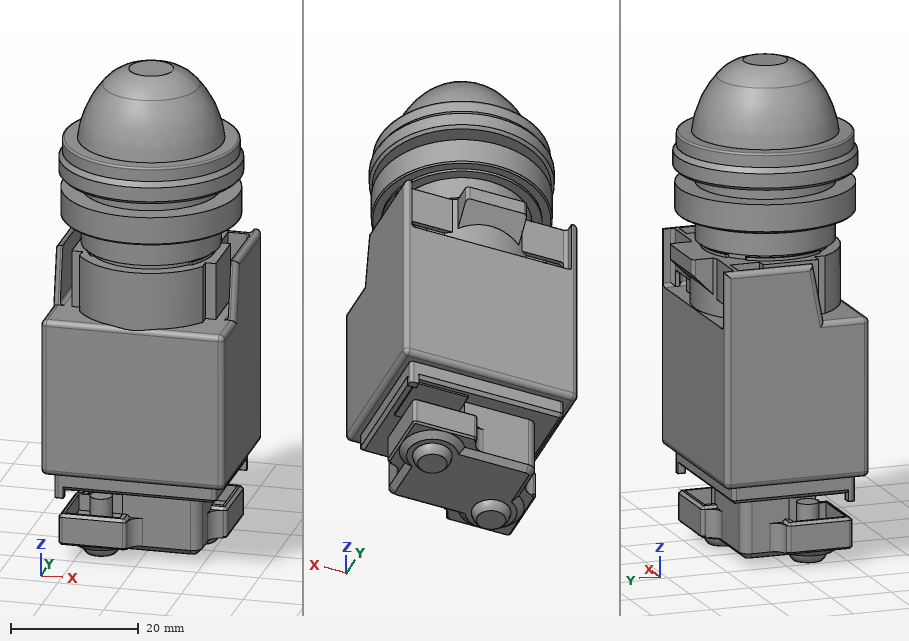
import cadquery as cq

TOTAL_HEIGHT = 79.75
DOME_BASE_Z = 68.25
BEZEL_BOTTOM_Z = 62.35
NUT_TOP_Z = 60.05
NUT_BOTTOM_Z = 55.4
NUT_FLANGE_BOTTOM_Z = 54.95
NECK_BOTTOM_Z = 50.9
LUG_TOP_Z = 50.3
HOUSING_TOP_Z = 49.8
SHELF_Z = 40.5
HOUSING_BOTTOM_Z = 14.7
PLATE_BOTTOM_Z = 11.8
PAD_BOTTOM_Z = 11.5
FOOT_BOTTOM_Z = 10.45
TRAY_TOP_Z = 7.65
TRAY_FLOOR_Z = 4.95
TRAY_BOTTOM_Z = 2.55
BLOCK_BOTTOM_Z = 1.6

DOME_CAP_RADIUS = 3.5
DOME_CAP_MID = (5.9, 78.8)
DOME_SEAM = (7.65, 77.2)
DOME_SIDE_MID = (10.3, 73.05)
DOME_BASE_RADIUS = 11.6
BEZEL_TOP_RADIUS = 13.95
BEZEL_TOP_ROUND = 0.3
BEZEL_RADIUS = 14.5
BEZEL_SHOULDER_TOP_Z = 66.0
BEZEL_SHOULDER_BOTTOM_Z = 65.15
BEZEL_BOTTOM_CHAMFER = 0.5
NECK_RADIUS = 22.0 / 2
STUB_RADIUS = 9.8
LUG_RADIUS = 20.4 / 2
SIDE_LUG_WIDTH = 12.3
BACK_LUG_WIDTH = 11.0

NUT_RADIUS = 28.4 / 2
NUT_FLANGE_RADIUS = 25.2 / 2
NUT_CHAMFER = 0.2

HOUSING_X = 29.6
HOUSING_Y = 24.0
HOUSING_ROUND = 0.9
WALL = 1.2
INNER_ROUND = 0.6
NOTCH_TOP_Y = -2.7
NOTCH_BOTTOM_Y = -4.5
BACK_WALL_FRONT_Y = 9.5
BACK_WALL_REAR_Y = 10.2
WINDOW_HEIGHT = 2.7
COLLAR_RADIUS = 23.6 / 2
COLLAR_FLATS = 19.9
COLLAR_EAR_X = 23.3
COLLAR_EAR_Y = 9.25
HOOK_WIDTH = 10.4
HOOK_TIP_Y = 14.1
HOOK_TIP_HEIGHT = 2.4
HOOK_ROUND = 0.55

PLATE_X = 26.15
PLATE_Y = 20.5
PLATE_ROUND = 0.6
PLATE_CHAMFER = 0.55
FOOT_X = 1.4
FOOT_Y = 1.2
BLOCK_X = 19.6
BLOCK_Y = 14.8
BLOCK_ROUND = 1.6
BLOCK_CHAMFER = TRAY_BOTTOM_Z - BLOCK_BOTTOM_Z
TRAY_REACH = 2.6
TRAY_X = 10.9
TRAY_Y = 10.85
TRAY_WALL = 0.9
TRAY_END_WALL = 1.2
TRAY_ROUND = 0.55
TRAY_CHAMFER = 0.5
TRAY_BOTTOM_CHAMFER = 0.3
TRAY_BLEND = 2.0
SCREW_INSET = 5.5
SCREW_SEAT_RADIUS = 4.1
SCREW_HEAD_RADIUS = 6.2 / 2
SCREW_FACE_RADIUS = 2.3
SCREW_HEAD_BULGE = (2.9, 0.7)
SCREW_TIP_RADIUS = 3.5 / 2
SCREW_TIP_Z = 9.3

TRAY_MIN_X = -BLOCK_X / 2 - TRAY_REACH
TRAY_MIN_Y = -BLOCK_Y / 2 - TRAY_REACH
TRAY_MAX_X = TRAY_MIN_X + TRAY_X
TRAY_MAX_Y = TRAY_MIN_Y + TRAY_Y
SCREW_X = TRAY_MIN_X + SCREW_INSET
SCREW_Y = TRAY_MIN_Y + SCREW_INSET


def box(x_range, y_range, z_range):
    """Axis-aligned box between the given limits."""
    corner = (x_range[0], y_range[0], z_range[0])
    size = (x_range[1] - x_range[0], y_range[1] - y_range[0], z_range[1] - z_range[0])
    return cq.Workplane("XY").box(*size, centered=False).translate(corner)


def centred_box(x_size, y_size, bottom_z, top_z):
    """Box centred on the Z axis."""
    return box((-x_size / 2, x_size / 2), (-y_size / 2, y_size / 2), (bottom_z, top_z))


def cylinder(radius, bottom_z, top_z):
    """Solid cylinder on the Z axis."""
    return cq.Workplane("XY").workplane(offset=bottom_z).circle(radius).extrude(top_z - bottom_z)


def turn_about_z(part, angle):
    """Copy of a part turned about the Z axis."""
    return part.rotate((0, 0, 0), (0, 0, 1), angle)


def make_lens():
    """Dome turned about Z, with a flat tip, standing on the bezel."""
    return (
        cq.Workplane("XZ")
        .moveTo(0, DOME_BASE_Z)
        .lineTo(DOME_BASE_RADIUS, DOME_BASE_Z)
        .threePointArc(DOME_SIDE_MID, DOME_SEAM)
        .threePointArc(DOME_CAP_MID, (DOME_CAP_RADIUS, TOTAL_HEIGHT))
        .lineTo(0, TOTAL_HEIGHT)
        .close()
        .revolve(360, (0, 0), (0, 1))
    )


def make_nut():
    """Ring nut around the neck, with a thin flange below."""
    nut = cylinder(NUT_RADIUS, NUT_BOTTOM_Z, NUT_TOP_Z).faces("<Z").edges().chamfer(NUT_CHAMFER)
    flange = cylinder(NUT_FLANGE_RADIUS, NUT_FLANGE_BOTTOM_Z, NUT_BOTTOM_Z)
    bore = cylinder(NECK_RADIUS, NUT_FLANGE_BOTTOM_Z, NUT_TOP_Z)
    return nut.union(flange).cut(bore)


def make_bezel_and_neck():
    """Bezel, neck and stub turned about Z, with three lugs on the stub."""
    turned = (
        cq.Workplane("XZ")
        .moveTo(0, HOUSING_TOP_Z)
        .lineTo(STUB_RADIUS, HOUSING_TOP_Z)
        .lineTo(STUB_RADIUS, NECK_BOTTOM_Z)
        .lineTo(NECK_RADIUS, NECK_BOTTOM_Z)
        .lineTo(NECK_RADIUS, BEZEL_BOTTOM_Z)
        .lineTo(BEZEL_RADIUS - BEZEL_BOTTOM_CHAMFER, BEZEL_BOTTOM_Z)
        .lineTo(BEZEL_RADIUS, BEZEL_BOTTOM_Z + BEZEL_BOTTOM_CHAMFER)
        .lineTo(BEZEL_RADIUS, BEZEL_SHOULDER_BOTTOM_Z)
        .lineTo(BEZEL_TOP_RADIUS, BEZEL_SHOULDER_TOP_Z)
        .lineTo(BEZEL_TOP_RADIUS, DOME_BASE_Z - BEZEL_TOP_ROUND)
        .radiusArc((BEZEL_TOP_RADIUS - BEZEL_TOP_ROUND, DOME_BASE_Z), -BEZEL_TOP_ROUND)
        .lineTo(0, DOME_BASE_Z)
        .close()
        .revolve(360, (0, 0), (0, 1))
    )
    lug_disc = cylinder(LUG_RADIUS, HOUSING_TOP_Z, LUG_TOP_Z)
    side_lugs = centred_box(2 * LUG_RADIUS, SIDE_LUG_WIDTH, HOUSING_TOP_Z, LUG_TOP_Z)
    back_lug = box(
        (-BACK_LUG_WIDTH / 2, BACK_LUG_WIDTH / 2), (0, LUG_RADIUS), (HOUSING_TOP_Z, LUG_TOP_Z)
    )
    return turned.union(lug_disc.intersect(side_lugs.union(back_lug)))


def make_shell():
    """Rounded box, lower at the front, with side walls standing above the shelf."""
    half_x = HOUSING_X / 2
    half_y = HOUSING_Y / 2
    shell = (
        cq.Workplane("YZ")
        .workplane(offset=-half_x)
        .polyline([
            (-half_y, HOUSING_BOTTOM_Z),
            (half_y, HOUSING_BOTTOM_Z),
            (half_y, HOUSING_TOP_Z),
            (NOTCH_TOP_Y, HOUSING_TOP_Z),
            (NOTCH_BOTTOM_Y, SHELF_Z),
            (-half_y, SHELF_Z),
        ])
        .close()
        .extrude(HOUSING_X)
    )
    shell = shell.faces("<X or >X or <Y or <Z").edges().fillet(HOUSING_ROUND)

    inner_half_x = half_x - WALL
    front_room = (
        box((-inner_half_x, inner_half_x), (-HOUSING_Y, BACK_WALL_FRONT_Y), (SHELF_Z, HOUSING_TOP_Z))
        .edges("(|Z and >Y) or (|Y and <Z)")
        .fillet(INNER_ROUND)
    )
    front_room = front_room.intersect(
        box((-half_x, half_x), (NOTCH_BOTTOM_Y, half_y), (SHELF_Z, HOUSING_TOP_Z))
    )
    rear_room = (
        box((-inner_half_x, inner_half_x), (BACK_WALL_REAR_Y, HOUSING_Y), (SHELF_Z, HOUSING_TOP_Z))
        .edges("(|Z and <Y) or (|Y and <Z)")
        .fillet(INNER_ROUND)
    )
    window_half_x = inner_half_x - INNER_ROUND
    window = (
        box(
            (-window_half_x, window_half_x),
            (BACK_WALL_FRONT_Y - INNER_ROUND, BACK_WALL_REAR_Y + INNER_ROUND),
            (SHELF_Z, SHELF_Z + WINDOW_HEIGHT),
        )
        .edges("|Y and >Z")
        .fillet(INNER_ROUND)
    )
    return shell.cut(front_room).cut(rear_room).cut(window)


def make_collar():
    """Collar with a round front, an ear on each side and a square rear up to the back wall."""
    height = (SHELF_Z - HOUSING_ROUND, HOUSING_TOP_Z)
    barrel = cylinder(COLLAR_RADIUS, *height)
    barrel = barrel.intersect(centred_box(COLLAR_FLATS, 2 * COLLAR_RADIUS, *height))
    ears = centred_box(COLLAR_EAR_X, COLLAR_EAR_Y, *height)
    rear = box((-COLLAR_FLATS / 2, COLLAR_FLATS / 2), (0, BACK_WALL_FRONT_Y), height)
    return barrel.union(ears).union(rear)


def make_hook():
    """Latch hook behind the back wall, sloped underneath."""
    tip_z = HOUSING_TOP_Z - HOOK_TIP_HEIGHT
    root_z = tip_z - (HOOK_TIP_Y - BACK_WALL_REAR_Y)
    return (
        cq.Workplane("YZ")
        .workplane(offset=-HOOK_WIDTH / 2)
        .polyline([
            (BACK_WALL_FRONT_Y, HOUSING_TOP_Z),
            (HOOK_TIP_Y, HOUSING_TOP_Z),
            (HOOK_TIP_Y, tip_z),
            (BACK_WALL_REAR_Y, root_z),
            (BACK_WALL_FRONT_Y, root_z),
        ])
        .close()
        .extrude(HOOK_WIDTH)
        .edges("|Z and >Y")
        .fillet(HOOK_ROUND)
    )


def make_base_plate():
    """Plate under the housing, with a foot and a raised pad at two opposite corners."""
    plate = (
        centred_box(PLATE_X, PLATE_Y, PLATE_BOTTOM_Z, HOUSING_BOTTOM_Z)
        .edges("|Z").fillet(PLATE_ROUND)
        .faces("<Z").edges().chamfer(PLATE_CHAMFER)
    )
    inner_x = PLATE_X - 2 * FOOT_X
    inner_y = PLATE_Y - 2 * FOOT_Y
    foot = (
        box(
            (-PLATE_X / 2, -inner_x / 2), (-PLATE_Y / 2, -inner_y / 2), (FOOT_BOTTOM_Z, HOUSING_BOTTOM_Z)
        )
        .edges("|Z and <X and <Y")
        .fillet(PLATE_ROUND)
    )
    corner_pad = box(
        (-inner_x / 2, TRAY_MAX_X - TRAY_END_WALL),
        (-inner_y / 2, TRAY_MAX_Y - TRAY_END_WALL),
        (PAD_BOTTOM_Z, PLATE_BOTTOM_Z),
    )
    corner = foot.union(corner_pad)
    for turn in (0, 180):
        plate = plate.union(turn_about_z(corner, turn))
    return plate


def make_block():
    """Central block of the terminals, rounded at its two plain corners."""
    return (
        centred_box(BLOCK_X, BLOCK_Y, BLOCK_BOTTOM_Z, PLATE_BOTTOM_Z)
        .edges("|Z").edges("(<X and >Y) or (>X and <Y)").fillet(BLOCK_ROUND)
        .faces("<Z").edges().chamfer(BLOCK_CHAMFER)
    )


def make_tray():
    """Box around the screw, blended into the two block faces it crosses."""
    tray = (
        box((TRAY_MIN_X, TRAY_MAX_X), (TRAY_MIN_Y, TRAY_MAX_Y), (TRAY_BOTTOM_Z, TRAY_TOP_Z))
        .edges("|Z").fillet(TRAY_ROUND)
        .faces(">Z").edges().chamfer(TRAY_CHAMFER)
        .faces("<Z").edges().chamfer(TRAY_BOTTOM_CHAMFER)
    )
    blend_top_z = TRAY_TOP_Z - TRAY_CHAMFER
    face_x = -BLOCK_X / 2
    face_y = -BLOCK_Y / 2
    front_blend = (
        cq.Workplane("XY").workplane(offset=TRAY_BOTTOM_Z)
        .moveTo(TRAY_MAX_X, face_y - TRAY_BLEND)
        .radiusArc((TRAY_MAX_X + TRAY_BLEND, face_y), TRAY_BLEND)
        .lineTo(TRAY_MAX_X - TRAY_END_WALL, face_y)
        .lineTo(TRAY_MAX_X - TRAY_END_WALL, face_y - TRAY_BLEND)
        .close().extrude(blend_top_z - TRAY_BOTTOM_Z)
    )
    side_blend = (
        cq.Workplane("XY").workplane(offset=TRAY_BOTTOM_Z)
        .moveTo(face_x - TRAY_BLEND, TRAY_MAX_Y)
        .radiusArc((face_x, TRAY_MAX_Y + TRAY_BLEND), -TRAY_BLEND)
        .lineTo(face_x, TRAY_MAX_Y - TRAY_END_WALL)
        .lineTo(face_x - TRAY_BLEND, TRAY_MAX_Y - TRAY_END_WALL)
        .close().extrude(blend_top_z - TRAY_BOTTOM_Z)
    )
    return tray.union(front_blend).union(side_blend)


def make_tray_pocket():
    """Open space above the tray floor, reaching into the block corner."""
    return box(
        (TRAY_MIN_X + TRAY_WALL, TRAY_MAX_X - TRAY_END_WALL),
        (TRAY_MIN_Y + TRAY_WALL, TRAY_MAX_Y - TRAY_END_WALL),
        (TRAY_FLOOR_Z, PAD_BOTTOM_Z),
    )


def make_screw():
    """Conical seat, rounded screw head below it and screw tip above the tray floor."""
    seat = (
        cq.Workplane("XY").workplane(offset=BLOCK_BOTTOM_Z).circle(SCREW_SEAT_RADIUS)
        .workplane(offset=TRAY_BOTTOM_Z - BLOCK_BOTTOM_Z).circle(SCREW_INSET - TRAY_BOTTOM_CHAMFER).loft()
    )
    head = (
        cq.Workplane("XZ")
        .lineTo(SCREW_FACE_RADIUS, 0)
        .threePointArc(SCREW_HEAD_BULGE, (SCREW_HEAD_RADIUS, BLOCK_BOTTOM_Z))
        .lineTo(0, BLOCK_BOTTOM_Z)
        .close()
        .revolve(360, (0, 0), (0, 1))
    )
    tip = cylinder(SCREW_TIP_RADIUS, BLOCK_BOTTOM_Z, SCREW_TIP_Z)
    return seat.union(head).union(tip).translate((SCREW_X, SCREW_Y, 0))


def make_terminals():
    """Terminal block with a screw tray at two opposite corners."""
    block = make_block()
    for turn in (0, 180):
        block = block.union(turn_about_z(make_tray(), turn))
        block = block.cut(turn_about_z(make_tray_pocket(), turn))
        block = block.union(turn_about_z(make_screw(), turn))
    return block


def make_lamp_body():
    """Housing with collar, hook, base plate, terminals and the bezel above, in one piece."""
    body = make_shell()
    for feature in (
        make_collar(),
        make_hook(),
        make_base_plate(),
        make_terminals(),
        make_bezel_and_neck(),
    ):
        body = body.union(feature)
    return body


lens = make_lens()
nut = make_nut()
lamp_body = make_lamp_body()
result = cq.Compound.makeCompound([lens.val(), nut.val(), lamp_body.val()])